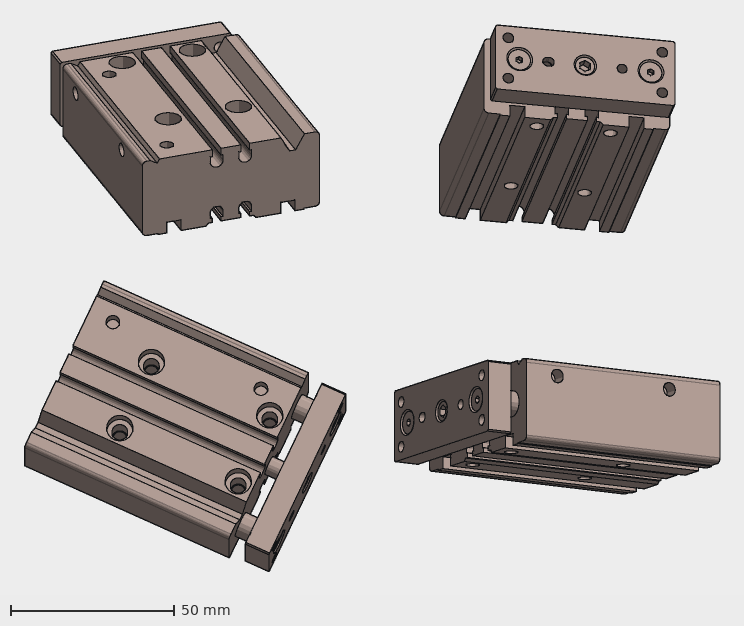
import cadquery as cq
import math

total_length = 82.0
housing_length = 69.0
housing_width = 58.0
housing_height = 26.0
plate_thickness = 8.0
plate_width = 56.0
plate_height = 22.1
plate_chamfer = 0.5

housing_front = total_length - housing_length
rod_length = housing_front - plate_thickness
half_width = housing_width / 2
top_z = housing_height / 2
bottom_z = -top_z

edge_radius = 1.5
flank_angle = math.radians(60)

wide_groove_left = 24.0
wide_groove_right = 16.3
wide_groove_depth = 5.0

small_groove_start = -23.4
small_groove_depth = 1.3

flank_step_y = 23.95
flank_step_height = 0.3
center_relief_half_width = 7.3
center_relief_height = 0.9

sensor_slot_y = 4.7
sensor_neck_width = 2.9
sensor_neck_depth = 2.4
sensor_slot_width = 4.2
sensor_slot_depth = 6.2

mount_slot_y = 18.6
mount_slot_width = 4.7
mount_slot_depth = 3.7

bolt_x_positions = (18.0, 58.0)
bolt_y = 11.5
counterbore_diameter = 8.0
counterbore_depth = 5.2
bolt_upper_diameter = 4.8
bolt_lower_diameter = 4.2

port_diameter = 4.2
port_depth = 5.0
top_port_x_positions = (24.0, 74.0)
top_port_y = -17.95
side_port_x_positions = (24.0, 64.0)
side_port_z = 8.4

guide_rod_diameter = 8.0
guide_rod_y = 20.5
piston_rod_diameter = 6.0

guide_recess_diameter = 8.0
guide_recess_floor_diameter = 7.0
guide_hex_across_flats = 2.0
guide_hex_depth = 2.0
piston_recess_diameter = 7.0
piston_recess_floor_diameter = 6.0
recess_depth = 0.5
piston_hex_across_flats = 3.3
piston_hex_depth = 3.0

corner_hole_diameter = 3.3
corner_hole_y = 24.0
corner_hole_z = 7.0
dowel_diameter = 3.0
dowel_y = 11.5
dowel_slot_length = 3.5
dowel_slot_depth = 3.0


def cylinder_along_x(diameter, x_start, length, y=0.0, z=0.0):
    """Cylinder that starts at x_start and runs toward +X."""
    center = cq.Vector(x_start, y, z)
    return cq.Workplane(obj=cq.Solid.makeCylinder(diameter / 2, length, center, cq.Vector(1, 0, 0)))


def cylinder_down(diameter, x, y, z_start, depth):
    """Cylinder that starts at z_start and runs toward -Z."""
    center = cq.Vector(x, y, z_start)
    return cq.Workplane(obj=cq.Solid.makeCylinder(diameter / 2, depth, center, cq.Vector(0, 0, -1)))


def along_housing(outline):
    """Extrude a closed Y-Z outline over the housing length."""
    return outline.extrude(housing_length)


def section_plane():
    """Y-Z sketch plane at the front face of the housing."""
    return cq.Workplane("YZ", origin=(housing_front, 0, 0))


def make_housing_block():
    """Rounded block whose underside is raised at both flanks and at the center."""
    flank_z = bottom_z + flank_step_height
    relief_z = bottom_z + center_relief_height
    relief_outer = center_relief_half_width + center_relief_height
    outline = section_plane().polyline([
        (-half_width, top_z),
        (half_width, top_z),
        (half_width, flank_z),
        (flank_step_y, flank_z),
        (flank_step_y, bottom_z),
        (relief_outer, bottom_z),
        (center_relief_half_width, relief_z),
        (-center_relief_half_width, relief_z),
        (-relief_outer, bottom_z),
        (-flank_step_y, bottom_z),
        (-flank_step_y, flank_z),
        (-half_width, flank_z),
    ]).close()
    block = along_housing(outline)
    return block.faces("<Y or >Y").edges("|X").fillet(edge_radius)


def make_wide_groove():
    """Trapezoidal groove with 60 degree flanks near the +Y edge of the top."""
    flank_run = wide_groove_depth / math.tan(flank_angle)
    floor_z = top_z - wide_groove_depth
    return along_housing(section_plane().polyline([
        (wide_groove_left, top_z),
        (wide_groove_left - flank_run, floor_z),
        (wide_groove_right + flank_run, floor_z),
        (wide_groove_right, top_z),
    ]).close())


def make_small_groove():
    """Right-angled V groove with one 60 degree flank near the -Y edge of the top."""
    root_y = small_groove_start - small_groove_depth / math.tan(flank_angle)
    end_y = root_y - small_groove_depth * math.tan(flank_angle)
    return along_housing(section_plane().polyline([
        (small_groove_start, top_z),
        (root_y, top_z - small_groove_depth),
        (end_y, top_z),
    ]).close())


def make_sensor_slot(y, side):
    """Necked slot with a round floor; side is +1 for the top, -1 for the underside."""
    neck = sensor_neck_width / 2
    radius = sensor_slot_width / 2
    face_z = side * top_z
    shoulder_z = face_z - side * sensor_neck_depth
    floor_z = face_z - side * sensor_slot_depth
    arc_z = floor_z + side * radius
    outline = (
        section_plane()
        .moveTo(y - neck, face_z)
        .lineTo(y - neck, shoulder_z)
        .lineTo(y - radius, shoulder_z)
        .lineTo(y - radius, arc_z)
        .threePointArc((y, floor_z), (y + radius, arc_z))
        .lineTo(y + radius, shoulder_z)
        .lineTo(y + neck, shoulder_z)
        .lineTo(y + neck, face_z)
        .close()
    )
    return along_housing(outline)


def make_mount_slot(y):
    """Straight rectangular slot in the underside."""
    center_z = bottom_z + mount_slot_depth / 2
    return along_housing(section_plane().center(y, center_z).rect(mount_slot_width, mount_slot_depth))


def make_bolt_hole(x, y):
    """Counterbored through hole that narrows at mid height."""
    counterbore = cylinder_down(counterbore_diameter, x, y, top_z, counterbore_depth)
    upper = cylinder_down(bolt_upper_diameter, x, y, top_z, housing_height / 2)
    lower = cylinder_down(bolt_lower_diameter, x, y, top_z, housing_height)
    return counterbore.union(upper).union(lower)


def make_side_port(x):
    """Blind port in the -Y face."""
    start = cq.Vector(x, -half_width, side_port_z)
    return cq.Workplane(
        obj=cq.Solid.makeCylinder(port_diameter / 2, port_depth, start, cq.Vector(0, 1, 0))
    )


def make_housing():
    body = make_housing_block()
    body = body.cut(make_wide_groove())
    body = body.cut(make_small_groove())
    for sign in (-1, 1):
        body = body.cut(make_sensor_slot(sign * sensor_slot_y, 1))
        body = body.cut(make_sensor_slot(sign * sensor_slot_y, -1))
        body = body.cut(make_mount_slot(sign * mount_slot_y))
        for x in bolt_x_positions:
            body = body.cut(make_bolt_hole(x, sign * bolt_y))
    for x in top_port_x_positions:
        body = body.cut(cylinder_down(port_diameter, x, top_port_y, top_z, port_depth))
    for x in side_port_x_positions:
        body = body.cut(make_side_port(x))
    return body


def make_recess(outer_diameter, floor_diameter, y):
    """Shallow conical recess in the outer face of the plate."""
    return cq.Workplane(
        obj=cq.Solid.makeCone(
            outer_diameter / 2, floor_diameter / 2, recess_depth, cq.Vector(0, y, 0), cq.Vector(1, 0, 0)
        )
    )


def make_hex_socket(across_flats, depth, y):
    """Hexagonal socket below a recess, with two corners pointing up and down."""
    across_corners = across_flats / math.cos(math.radians(30))
    return (
        cq.Workplane("YZ", origin=(0, y, 0))
        .transformed(rotate=(0, 0, 90))
        .polygon(6, across_corners)
        .extrude(recess_depth + depth)
    )


def make_guide_rod(y):
    return cylinder_along_x(guide_rod_diameter, plate_thickness, rod_length, y)


def make_guide_rod_end(y):
    """Recess and hex socket in line with a guide rod."""
    recess = make_recess(guide_recess_diameter, guide_recess_floor_diameter, y)
    return recess.union(make_hex_socket(guide_hex_across_flats, guide_hex_depth, y))


def make_piston_rod_end():
    """Recess and hex socket in line with the piston rod."""
    recess = make_recess(piston_recess_diameter, piston_recess_floor_diameter, 0)
    return recess.union(make_hex_socket(piston_hex_across_flats, piston_hex_depth, 0))


def make_dowel_slot(y):
    """Short slot, elongated along Y, at the mouth of a dowel hole."""
    return (
        cq.Workplane("YZ")
        .center(y, 0)
        .slot2D(dowel_slot_length, dowel_diameter)
        .extrude(dowel_slot_depth)
    )


def make_plate_with_rods():
    body = cq.Workplane("YZ").rect(plate_width, plate_height).extrude(plate_thickness)
    body = body.edges("|X").chamfer(plate_chamfer)
    body = body.union(cylinder_along_x(piston_rod_diameter, plate_thickness, rod_length))
    body = body.cut(make_piston_rod_end())
    for sign in (-1, 1):
        body = body.union(make_guide_rod(sign * guide_rod_y))
        body = body.cut(make_guide_rod_end(sign * guide_rod_y))
        body = body.cut(cylinder_along_x(dowel_diameter, 0, plate_thickness, sign * dowel_y))
        for z in (-corner_hole_z, corner_hole_z):
            hole = cylinder_along_x(corner_hole_diameter, 0, plate_thickness, sign * corner_hole_y, z)
            body = body.cut(hole)
    return body.cut(make_dowel_slot(dowel_y))


housing = make_housing()
plate_with_rods = make_plate_with_rods()

result = cq.Compound.makeCompound([housing.val(), plate_with_rods.val()])